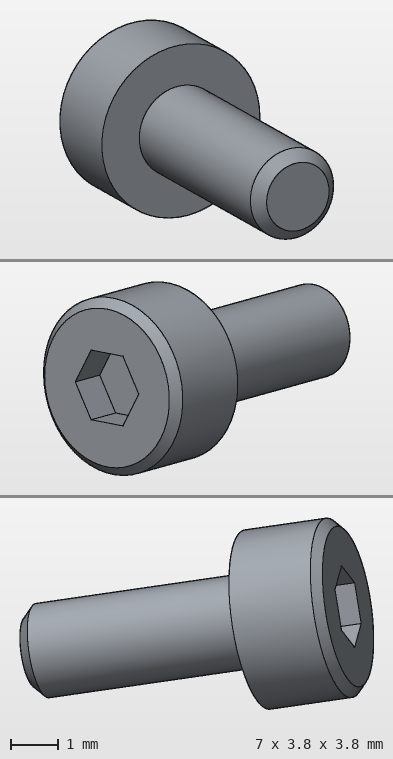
import cadquery as cq
import math

thread_diameter = 2.0
shank_length = 5.0
tip_chamfer = 0.25

head_diameter = 3.8
head_height = thread_diameter
head_chamfer = 0.2

socket_across_flats = 1.5
socket_depth = 0.8


def make_head():
    """Cylindrical head, chamfered around its outer end."""
    head = cq.Workplane("YZ").circle(head_diameter / 2).extrude(-head_height)
    return head.faces("<X").chamfer(head_chamfer)


def make_shank():
    """Plain shank with a chamfered tip."""
    shank = cq.Workplane("YZ").circle(thread_diameter / 2).extrude(shank_length)
    return shank.faces(">X").chamfer(tip_chamfer)


def make_socket():
    """Hexagonal socket with two corners on the Y axis and flats facing Z."""
    across_corners = socket_across_flats / math.cos(math.pi / 6)
    outer_face = cq.Workplane("YZ").workplane(offset=-head_height)
    return outer_face.polygon(6, across_corners).extrude(socket_depth)


result = make_head().union(make_shank()).cut(make_socket())